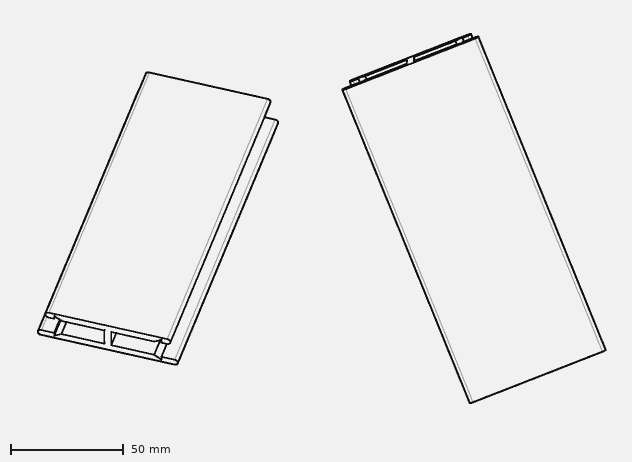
import cadquery as cq

length = 152.4
height = 15.5
bottom_width = 64.9
top_width = 57.9

lip_thickness = 3.2
plate_thickness = 3.5
web_thickness = 3.2

notch_outer_x = 24.8
notch_inner_x = 21.5
notch_depth = 2.1


def bar(width, bar_height, center_z):
    """Rectangular bar along the full length."""
    return cq.Workplane("XY").box(width, length, bar_height).translate((0, 0, center_z))


def plate(width, level):
    """Plate with fully rounded lips, thickened inward between its notches."""
    lips = (
        cq.Workplane("XZ")
        .center(0, level * (height - lip_thickness) / 2)
        .slot2D(width, lip_thickness)
        .extrude(length / 2, both=True)
    )
    middle = bar(2 * notch_outer_x, plate_thickness, level * (height - plate_thickness) / 2)
    return lips.union(middle)


def notch(side, level):
    """Triangular groove with an upright outer wall and a sloping inner wall."""
    inner_face_z = level * (height / 2 - plate_thickness)
    return (
        cq.Workplane("XZ")
        .moveTo(side * notch_outer_x, inner_face_z)
        .lineTo(side * notch_outer_x, inner_face_z + level * notch_depth)
        .lineTo(side * notch_inner_x, inner_face_z)
        .close()
        .extrude(length / 2, both=True)
    )


web = bar(web_thickness, height - plate_thickness, 0)
result = plate(bottom_width, -1).union(plate(top_width, 1)).union(web)

for side in (-1, 1):
    for level in (-1, 1):
        result = result.cut(notch(side, level))